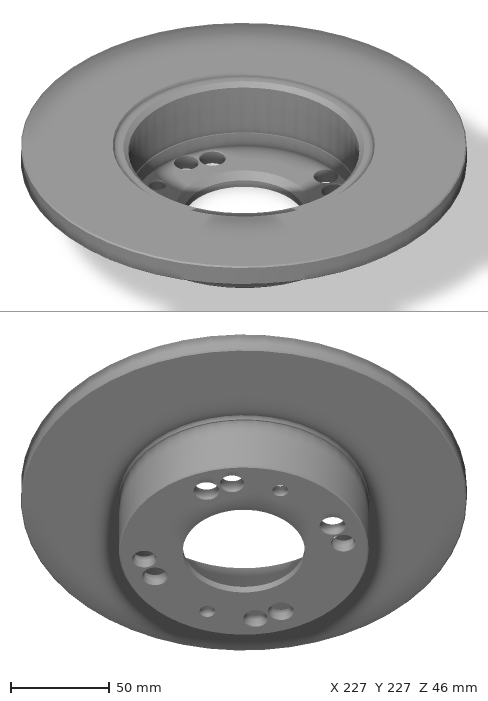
import cadquery as cq

disc_radius = 113.5
disc_thickness = 11.1
disc_chamfer = 0.7

mouth_radius = 66.7
mouth_slope = 0.7
mouth_depth = 1.5
lead_in_radius = 61.3
lead_in_depth = 3.9

total_height = 46.0
hat_radius = 63.5
hat_chamfer = 0.7
collar_radius = 64.2
collar_height = 3.0
cup_radius = 58.8
lower_wall_top_depth = 31.0
lower_wall_radius = 58.0
floor_radius = 57.5
floor_depth = 38.5

bore_radius = 31.0
bore_chamfer = 3.6

bolt_circle_radius = 49.0
bolt_hole_radius = 6.5
bolt_hole_chamfer = 0.5
side_hole_radius = 6.25
side_hole_offset = 14.0
pin_hole_radius = 4.0
pin_hole_chamfer = 0.7
bolt_angles = (0, 90, 180, 270)
pin_angles = (45, 225)


def make_body():
    """Revolve the half section; the top face of the ring is at Z = 0."""
    collar_bottom = -disc_thickness - collar_height
    section = [
        (mouth_radius, 0),
        (disc_radius - disc_chamfer, 0),
        (disc_radius, -disc_chamfer),
        (disc_radius, disc_chamfer - disc_thickness),
        (disc_radius - disc_chamfer, -disc_thickness),
        (collar_radius, -disc_thickness),
        (collar_radius, collar_bottom),
        (hat_radius, collar_bottom),
        (hat_radius, hat_chamfer - total_height),
        (hat_radius - hat_chamfer, -total_height),
        (bore_radius, -total_height),
        (bore_radius, -floor_depth - bore_chamfer),
        (bore_radius + bore_chamfer, -floor_depth),
        (floor_radius, -floor_depth),
        (lower_wall_radius, -lower_wall_top_depth),
        (cup_radius, -lower_wall_top_depth),
        (cup_radius, -lead_in_depth),
        (lead_in_radius, -mouth_depth),
        (mouth_radius - mouth_slope, -mouth_depth),
    ]
    return cq.Workplane("XZ").polyline(section).close().revolve(360, (0, 0), (0, 1))


def floor_hole(radius, chamfer, x, y, angle):
    """Cutter through the hat floor, turned about Z by angle; its mouth may be chamfered."""
    section = [(0, -floor_depth), (radius + chamfer, -floor_depth)]
    if chamfer > 0:
        section.append((radius, -floor_depth - chamfer))
    section += [(radius, -total_height), (0, -total_height)]
    cutter = cq.Workplane("XZ").polyline(section).close().revolve(360, (0, 0), (0, 1))
    return cutter.translate((x, y, 0)).rotate((0, 0, 0), (0, 0, 1), angle)


result = make_body()
for angle in bolt_angles:
    result = result.cut(floor_hole(bolt_hole_radius, bolt_hole_chamfer, bolt_circle_radius, 0, angle))
    result = result.cut(floor_hole(side_hole_radius, 0, bolt_circle_radius, side_hole_offset, angle))
for angle in pin_angles:
    result = result.cut(floor_hole(pin_hole_radius, pin_hole_chamfer, bolt_circle_radius, 0, angle))